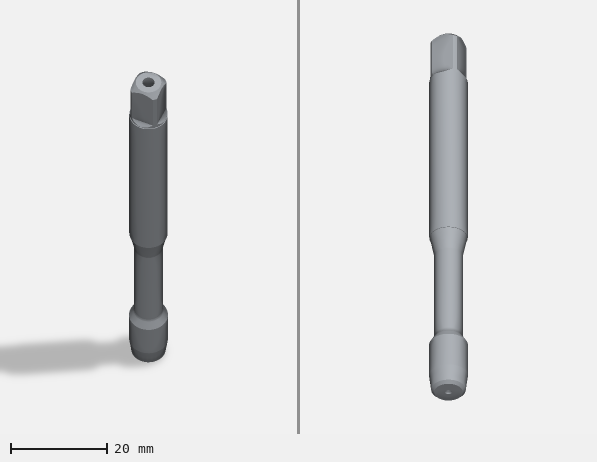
import cadquery as cq

total_length = 90.0
joint_height = 12.1

shank_diameter = 8.0
neck_diameter = 5.9
neck_bottom = 13.95
neck_top = 34.9
neck_fillet = 1.0
ring_reach = 0.1
taper_top = 39.5
taper_top_diameter = 7.7

square_width = 6.1
square_corner_diameter = 7.7
square_bottom = 80.3
square_top_diameter = 5.3

head_diameter = 8.1
lead_top = 4.2
lead_diameter = 7.2
tip_chamfer_height = 0.6
tip_diameter = 5.9

shank_bore_diameter = 2.5
head_bore_diameter = 1.4

shoulder_height = square_bottom - (shank_diameter - square_width) / 2
square_chamfer = (square_corner_diameter - square_top_diameter) / 2


def turned(stations):
    """Revolve a solid about Z from (diameter, height) stations listed upwards."""
    outline = [(diameter / 2, height) for diameter, height in stations]
    bottom = (0, outline[0][1])
    top = (0, outline[-1][1])
    return cq.Workplane("XZ").polyline([bottom, *outline, top]).close().revolve(360, (0, 0), (0, 1))


def flats_envelope():
    """Square prism with 45 degree run-outs that widen past the shank below the flats."""
    runout_width = 2 * shank_diameter
    runout_bottom = square_bottom - (runout_width - square_width) / 2
    square = (
        cq.Workplane("XY", origin=(0, 0, square_bottom))
        .rect(square_width, square_width)
        .extrude(total_length - square_bottom)
    )
    runout = (
        cq.Workplane("XY", origin=(0, 0, runout_bottom))
        .rect(runout_width, runout_width)
        .workplane(offset=square_bottom - runout_bottom)
        .rect(square_width, square_width)
        .loft(ruled=True)
    )
    lower_shank = (
        cq.Workplane("XY")
        .rect(runout_width, runout_width)
        .extrude(runout_bottom)
    )
    return square.union(runout).union(lower_shank)


def make_shank():
    """Lower cone, neck, taper, cylindrical shank and square drive, with the wide part of the channel."""
    blank = turned([
        (head_diameter, joint_height),
        (neck_diameter, neck_bottom),
        (neck_diameter, neck_top),
        (taper_top_diameter, taper_top),
        (shank_diameter, taper_top),
        (shank_diameter, shoulder_height),
        (square_corner_diameter, shoulder_height),
        (square_corner_diameter, total_length - square_chamfer),
        (square_top_diameter, total_length),
    ])
    for height in (neck_bottom, neck_top):
        ring = cq.selectors.BoxSelector(
            (-neck_diameter, -neck_diameter, height - ring_reach),
            (neck_diameter, neck_diameter, height + ring_reach),
        )
        blank = blank.edges("%CIRCLE").edges(ring).fillet(neck_fillet)
    bore = turned([
        (shank_bore_diameter, joint_height),
        (shank_bore_diameter, total_length),
    ])
    return blank.intersect(flats_envelope()).cut(bore)


def make_cutting_head():
    """Cylindrical head with a tapered lead and chamfered tip, with a narrow bore."""
    blank = turned([
        (tip_diameter, 0),
        (lead_diameter, tip_chamfer_height),
        (head_diameter, lead_top),
        (head_diameter, joint_height),
    ])
    bore = turned([
        (head_bore_diameter, 0),
        (head_bore_diameter, joint_height),
    ])
    return blank.cut(bore)


shank = make_shank()
cutting_head = make_cutting_head()

result = cq.Compound.makeCompound([shank.val(), cutting_head.val()])